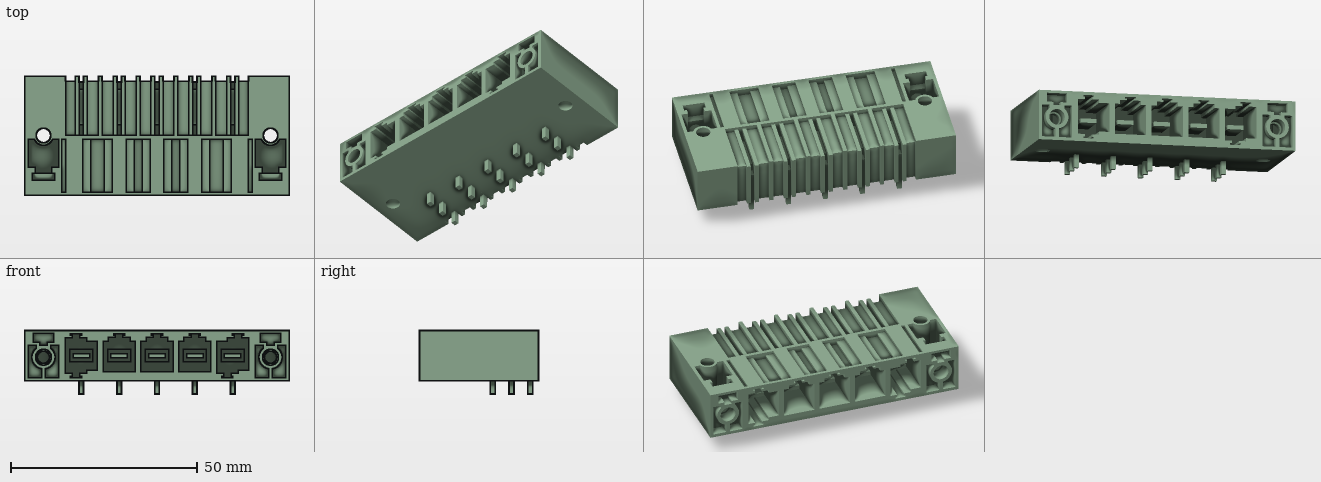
import cadquery as cq


LENGTH = 71.1
DEPTH = 32.0
HEIGHT = 13.5
MID_Z = HEIGHT / 2
WALL = 0.85

PITCH = 10.2
CONTACT_XS = [PITCH * place for place in range(-2, 3)]
FLANGE_X = 3 * PITCH
CHAMBER_END = 15.1
REAR_START = 16.1

CHAMBER_HALF = 4.35
SHOULDER_Z = 10.7
INNER_FLOOR = 2.4
INNER_TIER_HALF = 2.9
INNER_TIER_Z = 11.7
OUTER_TIER_Z = 11.5
OUTER_STEP_X = 1.5
KEY_TOP = 12.65
KEY_LIP = 0.4
KEY_HALF = 1.5
KEY_NECK_HALF = 1.0
OUTER_KEY_SHIFT = 1.4

SHELF_DEPTH = 0.9
TRENCH_DEPTH = 1.9
OUTER_RELIEF_X = 16.0
OUTER_RELIEF_WIDTH = 8.0
INNER_RELIEF_X = 5.05
INNER_RELIEF_WIDTH = 6.5
SHELF_WIDTH = 2.2
SLIT_WIDTH = 1.0
SLIT_DEPTH = 1.1

REAR_HALF = 24.55
REAR_FLOOR_DEPTH = 1.4
GUIDE_RIB_DROP = 0.7
RIB_WIDTH = 1.1
REAR_STEP = 1.35

FRONT_RECESS = 3.0
FLANGE_HALF = 4.1
FLANGE_RECESS_TOP = 9.5
SCREW_Z = 6.3
TUBE_RADIUS = 3.1
BORE_RADIUS = 2.1
WEB_HALF = 2.0
FOOT_HALF = 0.5
FLANGE_KEY_HALF = 2.8
FLANGE_KEY_STEP = 10.4
FLANGE_KEY_TOP = 12.8
FLANGE_KEY_NECK_HALF = 1.0
SHAFT_START = 7.55
SHAFT_NECK_HALF = 2.3
MOUNT_HOLE_RADIUS = 1.9
MOUNT_BOSS_RADIUS = 2.6

NUT_SIZE = 6.0
NUT_THICKNESS = 2.0
NUT_FRONT = 4.0
NUT_BACK = NUT_FRONT + NUT_THICKNESS
NUT_BOTTOM = SCREW_Z - NUT_SIZE / 2
NUT_HOLE_RADIUS = 1.65

PLATE_THICKNESS = 1.15
BLADE_WIDTH = 4.4
BLADE_FRONT = 5.7
COLLAR_WIDTH = 6.2
COLLAR_HEIGHT = 3.35
COLLAR_BOTTOM = MID_Z - COLLAR_HEIGHT / 2
COLLAR_TOP = MID_Z + COLLAR_HEIGHT / 2
PLATE_START = 18.9
PLATE_END = 30.5
PLATE_TOP = 10.7
PLATE_STEP_Y = 28.5
PIN_WIDTH = 1.3
PIN_DEPTH = 1.4
PIN_LENGTH = 3.55
PIN_PITCH = 5.05
PINS_PER_CONTACT = 3


def block(x_range, y_range, z_range):
    """A box between two limits along each axis."""
    (x0, x1), (y0, y1), (z0, z1) = x_range, y_range, z_range
    return cq.Workplane("XY").box(x1 - x0, y1 - y0, z1 - z0, centered=False).translate((x0, y0, z0))


def centred_block(x, half_width, y_range, z_range):
    """A box that reaches equally far to both sides of x."""
    return block((x - half_width, x + half_width), y_range, z_range)


def cylinder_y(x, z, radius, y_end):
    """A round bar along Y from the mating face."""
    return cq.Workplane("XZ").center(x, z).circle(radius).extrude(-y_end)


def key_slot(x):
    """T-shaped keyway that rises from a chamber ceiling."""
    chamber = (0, CHAMBER_END)
    neck = centred_block(x, KEY_NECK_HALF, chamber, (SHOULDER_Z, KEY_TOP))
    return neck.union(centred_block(x, KEY_HALF, chamber, (KEY_TOP - KEY_LIP, KEY_TOP)))


def inner_chamber(x):
    """Flat-floored chamber with a raised tier and one keyway in its ceiling."""
    chamber = (0, CHAMBER_END)
    body = centred_block(x, CHAMBER_HALF, chamber, (INNER_FLOOR, SHOULDER_Z))
    tier = centred_block(x, INNER_TIER_HALF, chamber, (SHOULDER_Z, INNER_TIER_Z))
    return body.union(tier).union(key_slot(x))


def outer_upper_half(x, side):
    """Upper half of an end chamber, with the tier and keyway toward the given side."""
    chamber = (0, CHAMBER_END)
    body = centred_block(x, CHAMBER_HALF, chamber, (MID_Z, SHOULDER_Z))
    tier_edges = sorted([x + side * CHAMBER_HALF, x - side * OUTER_STEP_X])
    tier = block(tier_edges, chamber, (SHOULDER_Z, OUTER_TIER_Z))
    return body.union(tier).union(key_slot(x + side * OUTER_KEY_SHIFT))


def outer_chamber(x, upper_side):
    """End chamber: the lower half always has its tier and keyway toward -X."""
    upper = outer_upper_half(x, upper_side)
    lower = outer_upper_half(x, -1).mirror("XY", (0, 0, MID_Z))
    return upper.union(lower)


def relief_groove(x, width):
    """Groove in the top with a shelf along each side and a deeper trench between."""
    along = (WALL, CHAMBER_END)
    shelf = centred_block(x, width / 2, along, (HEIGHT - SHELF_DEPTH, HEIGHT))
    trench_half = width / 2 - SHELF_WIDTH
    return shelf.union(centred_block(x, trench_half, along, (HEIGHT - TRENCH_DEPTH, HEIGHT)))


def end_slit(side):
    """Narrow groove in the top that separates a flange from the chambers."""
    edges = sorted([side * REAR_HALF, side * (REAR_HALF + SLIT_WIDTH)])
    return block(edges, (WALL, CHAMBER_END), (HEIGHT - SLIT_DEPTH, HEIGHT))


def rear_relief():
    """Material removed around the divider ribs and the lower guide ribs of the slots."""
    relief = centred_block(0, REAR_HALF, (REAR_START, DEPTH), (HEIGHT - REAR_FLOOR_DEPTH, HEIGHT))
    relief = relief.union(centred_block(0, REAR_HALF, (DEPTH - REAR_STEP, DEPTH), (0, HEIGHT)))
    rib_half = RIB_WIDTH / 2
    rear = (REAR_START, DEPTH)
    for x in CONTACT_XS[:-1]:
        relief = relief.cut(centred_block(x + PITCH / 2, rib_half, rear, (0, HEIGHT)))
    beside_slot = PLATE_THICKNESS / 2 + rib_half
    for x in CONTACT_XS:
        for shift in (-beside_slot, beside_slot):
            guide_rib = centred_block(x + shift, rib_half, rear, (0, HEIGHT - GUIDE_RIB_DROP))
            relief = relief.cut(guide_rib)
    return relief


def contact_seat(x):
    """Collar opening in the chamber's end wall and the upright slot for the plate."""
    collar = centred_block(
        x, COLLAR_WIDTH / 2, (CHAMBER_END, REAR_START), (COLLAR_BOTTOM, COLLAR_TOP)
    )
    half = PLATE_THICKNESS / 2
    arm = centred_block(x, half, (REAR_START, PLATE_START), (COLLAR_BOTTOM, HEIGHT))
    plate = centred_block(x, half, (PLATE_START, DEPTH), (0, HEIGHT))
    return collar.union(arm).union(plate)


def flange_front_recess(x):
    """Blind recess around the screw tube, with a T-shaped keyway above it."""
    reach = (0, FRONT_RECESS)
    recess = centred_block(x, FLANGE_HALF, reach, (WALL, FLANGE_RECESS_TOP))
    recess = recess.cut(cylinder_y(x, SCREW_Z, TUBE_RADIUS, FRONT_RECESS))
    recess = recess.cut(centred_block(x, WEB_HALF, reach, (SCREW_Z, FLANGE_RECESS_TOP)))
    recess = recess.cut(centred_block(x, FOOT_HALF, reach, (WALL, SCREW_Z)))
    key = centred_block(x, FLANGE_KEY_HALF, reach, (FLANGE_KEY_STEP, FLANGE_KEY_TOP))
    neck = centred_block(x, FLANGE_KEY_NECK_HALF, reach, (FLANGE_RECESS_TOP, FLANGE_KEY_STEP))
    return recess.union(key).union(neck)


def flange_top_recess(x):
    """Shaft from the top behind the nut, the nut slot, and the neck that joins them."""
    boss = cq.Workplane("XY").center(x, REAR_START).circle(MOUNT_BOSS_RADIUS).extrude(HEIGHT)
    shaft = centred_block(x, FLANGE_HALF, (SHAFT_START, CHAMBER_END), (NUT_BOTTOM, HEIGHT)).cut(boss)
    neck = centred_block(x, SHAFT_NECK_HALF, (NUT_BACK, SHAFT_START), (NUT_BOTTOM, HEIGHT))
    slot = centred_block(x, NUT_SIZE / 2, (NUT_FRONT, NUT_BACK), (NUT_BOTTOM, HEIGHT))
    return shaft.union(neck).union(slot)


def make_housing():
    housing = centred_block(0, LENGTH / 2, (0, DEPTH), (0, HEIGHT))
    housing = housing.cut(rear_relief())
    for x in CONTACT_XS[1:-1]:
        housing = housing.cut(inner_chamber(x))
    housing = housing.cut(outer_chamber(CONTACT_XS[0], -1))
    housing = housing.cut(outer_chamber(CONTACT_XS[-1], 1))
    for x in CONTACT_XS:
        housing = housing.cut(contact_seat(x))
    for side in (-1, 1):
        x = side * FLANGE_X
        housing = housing.cut(relief_groove(side * OUTER_RELIEF_X, OUTER_RELIEF_WIDTH))
        housing = housing.cut(relief_groove(side * INNER_RELIEF_X, INNER_RELIEF_WIDTH))
        housing = housing.cut(end_slit(side))
        housing = housing.cut(flange_front_recess(x))
        housing = housing.cut(flange_top_recess(x))
        housing = housing.cut(cylinder_y(x, SCREW_Z, BORE_RADIUS, NUT_FRONT))
        mount_hole = cq.Workplane("XY").center(x, REAR_START).circle(MOUNT_HOLE_RADIUS)
        housing = housing.cut(mount_hole.extrude(HEIGHT))
    return housing


def make_contact(x):
    """Flat blade on a collar, with an upright plate behind it that carries the pins."""
    half = PLATE_THICKNESS / 2
    collar_z = (COLLAR_BOTTOM, COLLAR_TOP)
    blade_z = (MID_Z - half, MID_Z + half)
    contact = centred_block(x, BLADE_WIDTH / 2, (BLADE_FRONT, CHAMBER_END), blade_z)
    contact = contact.union(centred_block(x, COLLAR_WIDTH / 2, (CHAMBER_END, REAR_START), collar_z))
    contact = contact.union(centred_block(x, half, (REAR_START, PLATE_START), collar_z))
    contact = contact.union(centred_block(x, half, (PLATE_START, PLATE_STEP_Y), (0, PLATE_TOP)))
    contact = contact.union(centred_block(x, half, (PLATE_STEP_Y, PLATE_END), (0, COLLAR_TOP)))
    for place in range(PINS_PER_CONTACT):
        pin_end = PLATE_END - place * PIN_PITCH
        pin = centred_block(x, PIN_WIDTH / 2, (pin_end - PIN_DEPTH, pin_end), (-PIN_LENGTH, 0))
        contact = contact.union(pin)
    return contact


def make_nut(x):
    """Square nut in its slot behind the screw bore."""
    nut = centred_block(x, NUT_SIZE / 2, (NUT_FRONT, NUT_BACK), (NUT_BOTTOM, NUT_BOTTOM + NUT_SIZE))
    return nut.cut(cylinder_y(x, SCREW_Z, NUT_HOLE_RADIUS, NUT_BACK))


housing = make_housing()
contacts = [make_contact(x) for x in CONTACT_XS]
nuts = [make_nut(side * FLANGE_X) for side in (-1, 1)]

bodies = [housing] + contacts + nuts
result = cq.Compound.makeCompound([body.val() for body in bodies])